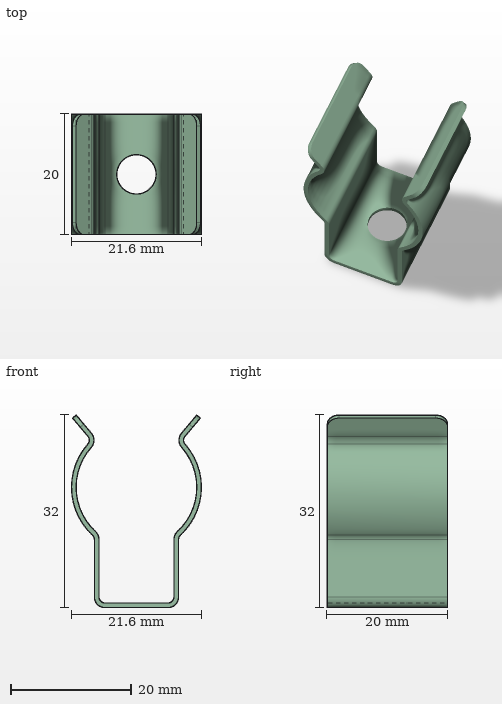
import cadquery as cq
import math

height = 32.0
width = 20.0
sheet = 0.8
grip_radius = 10.0
grip_z = 20.0
base_half_width = 7.0
base_bend_radius = 1.0
leg_bend_radius = 1.8
neck_half_width = 7.05
neck_bend_radius = 1.8
lip_angle = 50.0
lip_corner_radius = 2.0
hole_diameter = 6.5

base_bend_offset = base_bend_radius + sheet
base_center = (base_half_width - base_bend_offset, base_bend_offset)
leg_center_x = base_half_width - sheet + leg_bend_radius
leg_center_drop = math.sqrt((grip_radius + leg_bend_radius) ** 2 - leg_center_x**2)
leg_center = (leg_center_x, grip_z - leg_center_drop)
neck_center_x = neck_half_width + neck_bend_radius
neck_center_rise = math.sqrt((grip_radius + neck_bend_radius) ** 2 - neck_center_x**2)
neck_center = (neck_center_x, grip_z + neck_center_rise)
grip_center = (0, grip_z)

leg_tangent = -math.degrees(math.atan2(leg_center_drop, leg_center_x))
neck_tangent = math.degrees(math.atan2(neck_center_rise, neck_center_x))
lip_normal = lip_angle + 90


def polar(center, radius, angle):
    """Point at a radius and an angle in degrees around a center."""
    turn = math.radians(angle)
    return (center[0] + radius * math.cos(turn), center[1] + radius * math.sin(turn))


lip_start_z = polar(neck_center, neck_bend_radius, lip_normal)[1]
lip_length = (height - lip_start_z) / math.sin(math.radians(lip_angle))


def face_path(depth):
    """Edges of the +X half, from base to lip tip, at a depth outward from the inner face."""
    arcs = [
        (base_center, base_bend_radius + depth, -90, 0),
        (leg_center, leg_bend_radius - depth, 180, 180 + leg_tangent),
        (grip_center, grip_radius + depth, leg_tangent, neck_tangent),
        (neck_center, neck_bend_radius - depth, 180 + neck_tangent, lip_normal),
    ]
    edges = []
    last_point = cq.Vector(0, sheet - depth)

    def add_line(end):
        nonlocal last_point
        if (end - last_point).Length > 3.2e-07:
            edges.append(cq.Edge.makeLine(last_point, end))
        last_point = end

    for center, radius, start, end in arcs:
        points = [cq.Vector(*polar(center, radius, a)) for a in (start, (start + end) / 2, end)]
        add_line(points[0])
        edges.append(cq.Edge.makeThreePointArc(*points))
        last_point = points[2]
    add_line(cq.Vector(*polar(last_point.toTuple(), lip_length, lip_angle)))
    return edges


def make_half():
    """Bent strip on the +X side, with rounded lip corners."""
    inner = face_path(0)
    outer = face_path(sheet)
    middle_edge = cq.Edge.makeLine(inner[0].startPoint(), outer[0].startPoint())
    tip_edge = cq.Edge.makeLine(inner[-1].endPoint(), outer[-1].endPoint())
    outline = cq.Wire.assembleEdges(inner + [tip_edge] + outer[::-1] + [middle_edge])
    profile = cq.Workplane("XY").add(outline).toPending().extrude(width / 2, both=True)
    strip = profile.rotate((0, 0, 0), (1, 0, 0), 90)

    tip_center = (inner[-1].endPoint() + outer[-1].endPoint()) / 2
    tip_point = (tip_center.x, width / 2, tip_center.y)
    mirrored_tip_point = (tip_center.x, -width / 2, tip_center.y)
    corners = cq.selectors.NearestToPointSelector(tip_point)
    mirrored_corners = cq.selectors.NearestToPointSelector(mirrored_tip_point)
    return strip.edges(corners + mirrored_corners).fillet(lip_corner_radius)


half = make_half()
body = half.union(half.mirror("YZ")).clean()

hole = cq.Workplane("XY").circle(hole_diameter / 2).extrude(sheet)
result = body.cut(hole)